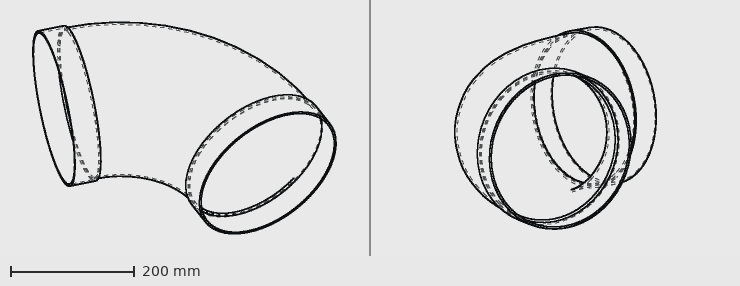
import cadquery as cq
import math

collar_diameter = 257.0
pipe_diameter = 250.0
wall = 3.5
bend_angle = 75.0
bend_radius = 250.0
collar_length = 43.5

angle = math.radians(bend_angle)
collar_radius = collar_diameter / 2
pipe_radius = pipe_diameter / 2
bore_radius = pipe_radius - wall
lip_radius = wall

inlet_direction = cq.Vector(0, -1, 0)
outlet_direction = cq.Vector(math.sin(angle), math.cos(angle), 0)
bend_start = cq.Vector(0, collar_length, 0)
bend_end = bend_start + cq.Vector(
    bend_radius * (1 - math.cos(angle)),
    bend_radius * math.sin(angle),
    0,
)


def make_bend():
    """Hollow pipe turned about a vertical axis from one collar to the other."""
    plane = cq.Plane(origin=bend_start, xDir=(1, 0, 0), normal=inlet_direction)
    section = cq.Workplane(plane).circle(pipe_radius).circle(bore_radius)
    return section.revolve(bend_angle, (bend_radius, 0, 0), (bend_radius, -1, 0))


def make_collar(joint, direction):
    """Socket collar running outward from the joint, with a rounded lip at the pipe bore."""
    up = cq.Vector(0, 0, 1)
    plane = cq.Plane(origin=joint, xDir=up, normal=up.cross(direction))
    lip_middle = (
        pipe_radius - lip_radius * math.cos(math.pi / 4),
        lip_radius * math.sin(math.pi / 4),
    )
    profile = (
        cq.Workplane(plane)
        .moveTo(bore_radius, 0)
        .lineTo(collar_radius, 0)
        .lineTo(collar_radius, collar_length)
        .lineTo(pipe_radius, collar_length)
        .lineTo(pipe_radius, lip_radius)
        .threePointArc(lip_middle, (bore_radius, 0))
        .close()
    )
    return profile.revolve(360, (0, 0, 0), (0, 1, 0))


inlet_collar = make_collar(bend_start, inlet_direction)
outlet_collar = make_collar(bend_end, outlet_direction)
result = make_bend().union(inlet_collar).union(outlet_collar)